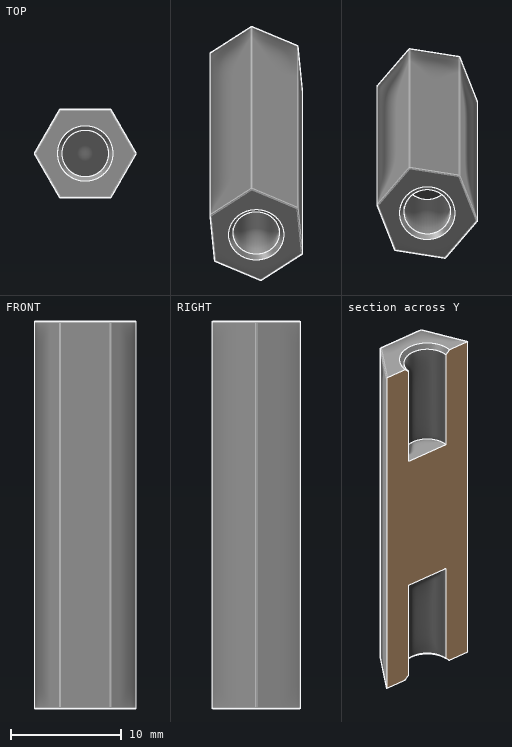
import cadquery as cq

length = 35.0
across_corners = 9.25
edge_radius = 0.1

hole_diameter = 4.2
mouth_diameter = 5.0
hole_depth = 10.5
mouth_depth = (mouth_diameter - hole_diameter) / 2


def hexagonal_bar():
    """Upright hexagon with flats facing +Y and -Y and its base on Z = 0."""
    bar = cq.Workplane("XY").polygon(6, across_corners).extrude(length)
    return bar.edges().fillet(edge_radius)


def top_hole():
    """Solid to remove: a flat-ended bore that widens at the top face."""
    bore_radius = hole_diameter / 2
    mouth_radius = mouth_diameter / 2
    profile = [
        (0, length),
        (mouth_radius, length),
        (bore_radius, length - mouth_depth),
        (bore_radius, length - hole_depth),
        (0, length - hole_depth),
    ]
    return cq.Workplane("XZ").polyline(profile).close().revolve(360, (0, 0, 0), (0, 1, 0))


upper_hole = top_hole()
lower_hole = upper_hole.mirror("XY", (0, 0, length / 2))
result = hexagonal_bar().cut(upper_hole).cut(lower_hole)